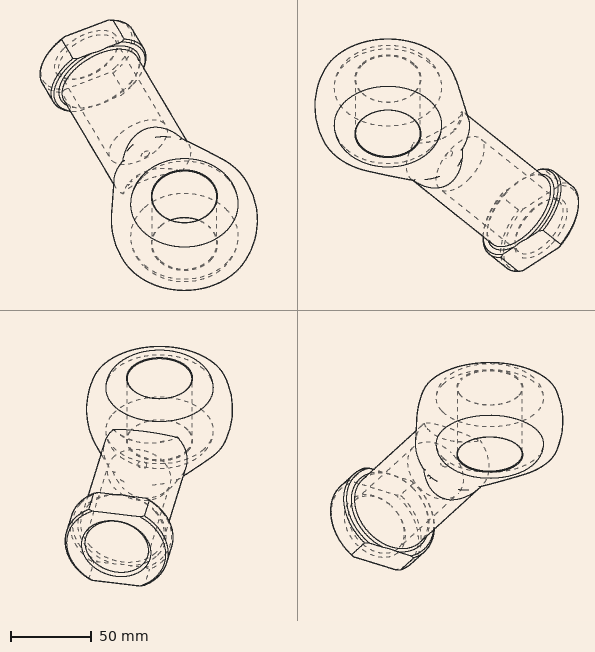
import cadquery as cq
import math

total_length = 187.5

collar_length = 19.0
collar_radius = 32.6
collar_across_flats = 55.0
collar_chamfer = 1.3

shank_radius = 26.5
shank_end = 95.6
root_flare = 1.5

head_diameter = 91.0
head_radius = head_diameter / 2
head_center = total_length - head_radius
head_thickness = 33.4
flat_start = 85.7
edge_fillet = 1.1

ring_radius = 33.4
ring_height = 49.3
ring_fillet = 8.0
ring_bore_radius = 20.0
ring_bore_chamfer = 0.47

socket_radius = 20.0
socket_depth = 75.0
socket_mouth_chamfer = 1.9
socket_tip_radius = 2.8
drill_point_angle = 118.0


def revolve_about_x(profile):
    return profile.close().revolve(360, (0, 0, 0), (1, 0, 0))


def make_collar():
    """Round collar with chamfered rims and a sloped root, trimmed by two wrench flats."""
    collar = (
        cq.Workplane("YZ")
        .circle(collar_radius)
        .extrude(collar_length)
        .edges()
        .chamfer(collar_chamfer)
    )
    root = revolve_about_x(
        cq.Workplane("XY")
        .moveTo(collar_length, 0)
        .lineTo(collar_length, shank_radius + root_flare)
        .lineTo(collar_length + root_flare, shank_radius)
        .lineTo(collar_length + root_flare, 0)
    )
    flats = cq.Workplane("XY").box(3 * collar_length, 3 * collar_radius, collar_across_flats)
    return collar.union(root).intersect(flats)


def make_shank():
    """Cylinder scooped away above and below the head."""
    shank = (
        cq.Workplane("YZ", origin=(collar_length, 0, 0))
        .circle(shank_radius)
        .extrude(shank_end - collar_length)
    )
    half_thickness = head_thickness / 2
    half_width = math.sqrt(shank_radius**2 - half_thickness**2)
    scoop_length = shank_end - flat_start
    scoop_radius = (half_width**2 + scoop_length**2) / (2 * scoop_length)
    scoop = (
        cq.Workplane("XY", origin=(flat_start + scoop_radius, 0, half_thickness))
        .circle(scoop_radius)
        .extrude(shank_radius)
        .faces("<Z")
        .edges()
        .fillet(edge_fillet)
    )
    return shank.cut(scoop).cut(scoop.mirror("XY"))


def make_head():
    """Spherical head and tangent conical neck, cut by two flats with rounded rims."""
    axial_gap = head_center - shank_end
    tip_distance = math.hypot(axial_gap, shank_radius)
    slope = math.asin(head_radius / tip_distance) - math.atan2(shank_radius, axial_gap)
    tangent_x = head_center - head_radius * math.sin(slope)
    tangent_radius = head_radius * math.cos(slope)
    arc_angle = (math.pi / 2 + slope) / 2
    arc_middle = (
        head_center + head_radius * math.cos(arc_angle),
        head_radius * math.sin(arc_angle),
    )
    head = revolve_about_x(
        cq.Workplane("XY")
        .moveTo(shank_end, 0)
        .lineTo(shank_end, shank_radius)
        .lineTo(tangent_x, tangent_radius)
        .threePointArc(arc_middle, (total_length, 0))
    )
    slab = cq.Workplane("XY").box(3 * total_length, 3 * head_radius, head_thickness)
    head = head.intersect(slab)
    return head.faces("|Z").edges("not(<X)").fillet(edge_fillet)


def make_inner_ring():
    return (
        cq.Workplane("XY", origin=(head_center, 0, -ring_height / 2))
        .circle(ring_radius)
        .extrude(ring_height)
        .edges()
        .fillet(ring_fillet)
    )


def make_ring_bore():
    """Through bore whose ends widen into small chamfers at the ring faces."""
    mouth_radius = ring_bore_radius + ring_bore_chamfer
    half_height = ring_height / 2
    return (
        cq.Workplane("XZ")
        .moveTo(0, -half_height)
        .lineTo(mouth_radius, -half_height)
        .lineTo(ring_bore_radius, -half_height + ring_bore_chamfer)
        .lineTo(ring_bore_radius, half_height - ring_bore_chamfer)
        .lineTo(mouth_radius, half_height)
        .lineTo(0, half_height)
        .close()
        .revolve(360, (0, 0, 0), (0, 1, 0))
        .translate((head_center, 0, 0))
    )


def make_socket():
    """Blind hole from the collar end with a chamfered mouth and a blunt drill point."""
    point_length = (socket_radius - socket_tip_radius) / math.tan(math.radians(drill_point_angle / 2))
    return revolve_about_x(
        cq.Workplane("XY")
        .lineTo(0, socket_radius + socket_mouth_chamfer)
        .lineTo(socket_mouth_chamfer, socket_radius)
        .lineTo(socket_depth, socket_radius)
        .lineTo(socket_depth + point_length, socket_tip_radius)
        .lineTo(socket_depth + point_length, 0)
    )


body = make_collar().union(make_shank()).union(make_head()).union(make_inner_ring())
result = body.cut(make_ring_bore()).cut(make_socket())